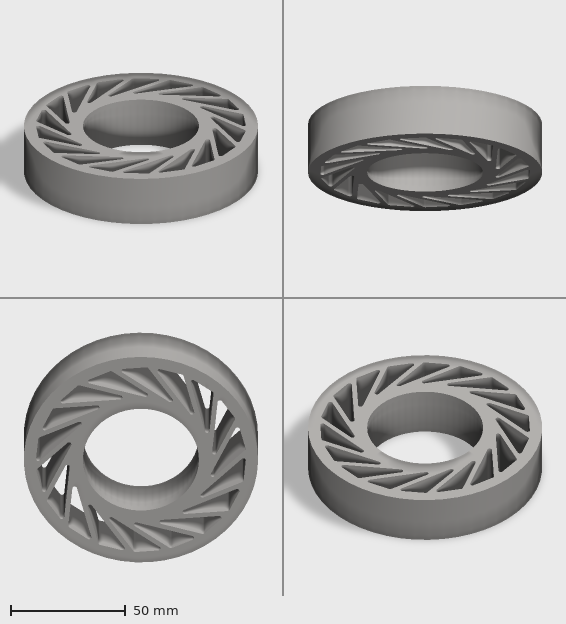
import cadquery as cq
import math

outer_diameter = 102.0
bore_diameter = 50.5
height = 22.0

pocket_count = 18
pocket_pitch = 360.0 / pocket_count
rim_flat_distance = 45.5
web_offset = 28.4
web_thickness = 2.1
web_face_direction = 60.0
corner_radius = 1.0


def wall_intersection(first_wall, second_wall):
    """Point where two walls meet, each given as (distance from the axis, normal angle in degrees)."""
    first_distance, first_angle = first_wall
    second_distance, second_angle = second_wall
    a = math.radians(first_angle)
    b = math.radians(second_angle)
    determinant = math.sin(b - a)
    x = (first_distance * math.sin(b) - second_distance * math.sin(a)) / determinant
    y = (second_distance * math.cos(a) - first_distance * math.cos(b)) / determinant
    return x, y


def make_ring():
    return (
        cq.Workplane("XY")
        .circle(outer_diameter / 2)
        .circle(bore_diameter / 2)
        .extrude(height)
    )


def make_pocket():
    """Triangular through pocket on the +X side, with its flat outer wall square to X."""
    rim_wall = (rim_flat_distance, 0.0)
    upper_wall = (web_offset, web_face_direction)
    lower_wall = (web_offset + web_thickness, web_face_direction - pocket_pitch)
    corners = [
        wall_intersection(rim_wall, upper_wall),
        wall_intersection(upper_wall, lower_wall),
        wall_intersection(lower_wall, rim_wall),
    ]
    return (
        cq.Workplane("XY")
        .polyline(corners)
        .close()
        .extrude(height)
        .edges("|Z")
        .fillet(corner_radius)
    )


result = make_ring()
pocket = make_pocket()
for index in range(pocket_count):
    result = result.cut(pocket.rotate((0, 0, 0), (0, 0, 1), index * pocket_pitch))